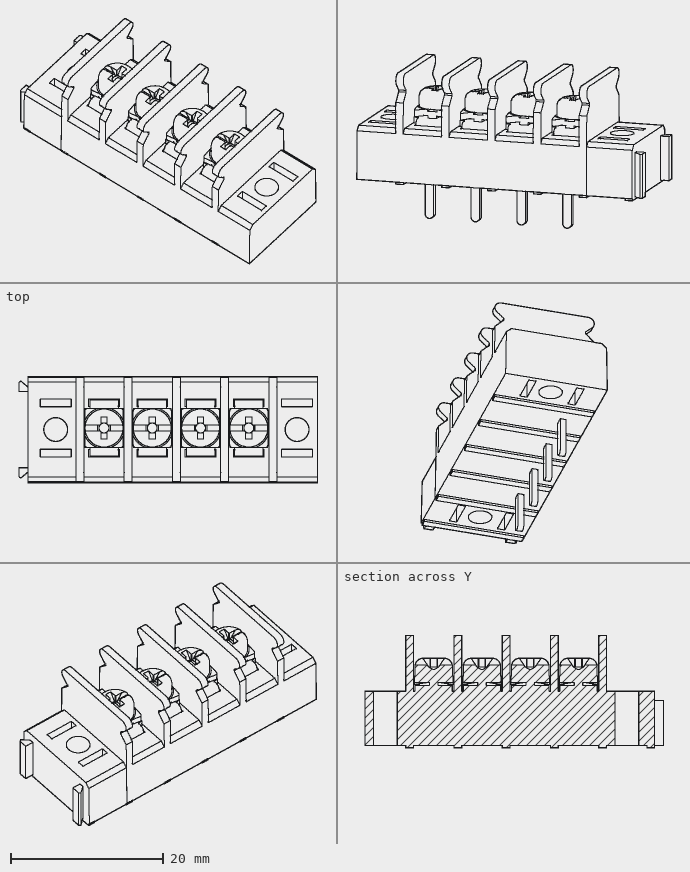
import cadquery as cq
import math


pole_count = 4
pitch = 6.35
body_length = (pole_count + 2) * pitch
first_barrier_x = 6.83
barrier_xs = [first_barrier_x + i * pitch for i in range(pole_count + 1)]
pole_xs = [x + pitch / 2 for x in barrier_xs[:-1]]
barrier_thickness = 1.05
screw_y = 0.2

foot_height = 0.3
base_half_width = 7.0
end_shoulder_half_width = 6.86
shoulder_z = 6.83
deck_z = 7.45
deck_half_width = 6.25
foot_half_width = 6.85
end_foot_width = 1.0

barrier_top_z = 14.8
barrier_half_width = 6.83
barrier_corner_radius = 0.88
notch_low_z = 11.0
notch_depth = 1.2
notch_floor_height = 0.25

side_slope = (base_half_width - barrier_half_width) / (notch_low_z - foot_height)
shoulder_half_width = base_half_width - side_slope * (shoulder_z - foot_height)

mount_hole_diameter = 3.1
mount_inset = 3.65
mount_xs = [mount_inset, mount_inset + (pole_count + 1) * pitch]
slot_length = 4.05
slot_width = 1.0
slot_offset = 3.3

hook_reach = 1.19
hook_bottom_z = foot_height
hook_top_z = 6.25
hook_inner_y = 5.0
hook_root_y = 5.6
hook_tip_y = 6.4
hook_bevel_x = 0.25
hook_bevel_y = 0.2

strip_thickness = 0.8
bracket_top_z = deck_z + strip_thickness
arm_bend_radius = 0.79
bracket_width = 4.95
arm_width = 3.75
arm_outer_y = 3.7
arm_seat_depth = 2.0
pin_width = 1.2
pin_tip_z = -5.0
pin_root_z = 1.0

washer_size = 5.1
washer_corner_radius = 0.35
washer_bottom_z = 8.57
washer_top_z = 9.43
washer_bend_radius = 2.7
washer_corner_drop = 0.3
bead_width = 1.15
bead_groove_width = 1.3
bead_groove_depth = 0.25
screw_collar_diameter = 3.0

head_diameter = 5.0
head_top_z = 11.8
head_round = 1.1
drive_slot_width = 0.8
drive_slot_depth = 0.9
cross_width = 0.83
cross_top_radius = 1.45
cross_floor_radius = 0.65
cross_depth = 1.16
cross_tip_depth = 1.6


def box(size_x, size_y, z_low, z_high, x=0.0, y=0.0):
    """Block centred on (x, y) that spans z_low to z_high."""
    block = cq.Workplane("XY").box(size_x, size_y, z_high - z_low, centered=(True, True, False))
    return block.translate((x, y, z_low))


def housing_length(x_start, x_end, shoulder):
    """Length of housing with tapered sides and bevelled upper edges."""
    outline = [
        (-base_half_width, foot_height),
        (base_half_width, foot_height),
        (shoulder, shoulder_z),
        (deck_half_width, deck_z),
        (-deck_half_width, deck_z),
        (-shoulder, shoulder_z),
    ]
    plane = cq.Workplane("YZ", origin=(x_start, 0, 0))
    return plane.polyline(outline).close().extrude(x_end - x_start)


def feet():
    """Low bars across the underside: one at the -X end and one below each barrier."""
    depth = 2 * foot_half_width
    bars = box(end_foot_width, depth, 0, shoulder_z, end_foot_width / 2)
    for x in barrier_xs:
        bars = bars.union(box(barrier_thickness, depth, 0, shoulder_z, x))
    return bars


def barrier(x):
    """Upright wall with rounded top corners and a V notch in each side edge."""
    w = barrier_half_width
    r = barrier_corner_radius
    diagonal = r * math.sqrt(0.5)
    centre_y = w - r
    centre_z = barrier_top_z - r
    notch_y = w - notch_depth
    notch_z = notch_low_z + notch_depth
    outline = (
        cq.Workplane("YZ", origin=(x - barrier_thickness / 2, 0, 0))
        .moveTo(0, foot_height)
        .lineTo(base_half_width, foot_height)
        .lineTo(w, notch_low_z)
        .lineTo(notch_y, notch_z)
        .lineTo(notch_y, notch_z + notch_floor_height)
        .lineTo(centre_y + diagonal, centre_z - diagonal)
        .threePointArc((centre_y + r * math.cos(math.pi / 8), centre_z + r * math.sin(math.pi / 8)),
                       (centre_y, barrier_top_z))
        .lineTo(0, barrier_top_z)
        .close()
    )
    half = outline.extrude(barrier_thickness)
    return half.union(half.mirror("XZ"))


def hook(side):
    """Undercut hook on the -X end face; side is +1 or -1 in Y."""
    outline = [
        (0, side * hook_inner_y),
        (-hook_reach, side * hook_inner_y),
        (-hook_reach, side * (hook_tip_y - hook_bevel_y)),
        (hook_bevel_x - hook_reach, side * hook_tip_y),
        (0, side * hook_root_y),
    ]
    plane = cq.Workplane("XY", origin=(0, 0, hook_bottom_z))
    return plane.polyline(outline).close().extrude(hook_top_z - hook_bottom_z)


def slot_pair(x, z_low):
    """Cutters for the two slots either side of the screw line, open at the deck."""
    front = box(slot_length, slot_width, z_low, deck_z, x, screw_y - slot_offset)
    back = box(slot_length, slot_width, z_low, deck_z, x, screw_y + slot_offset)
    return front.union(back)


def mount_openings(x):
    """Through hole and through slots of one mounting end."""
    hole = cq.Workplane("XY").center(x, 0).circle(mount_hole_diameter / 2).extrude(deck_z)
    return hole.union(slot_pair(x, 0))


def bracket(x):
    """Metal strip on the deck with its two arms bent down into the slots."""
    seat_z = deck_z - arm_seat_depth
    strip = box(arm_width, 2 * arm_outer_y, seat_z, bracket_top_z, x, screw_y)
    strip = strip.edges("|X and >Z").fillet(arm_bend_radius)
    between_arms = 2 * (arm_outer_y - strip_thickness)
    strip = strip.cut(box(arm_width, between_arms, seat_z, deck_z, x, screw_y))
    return strip.union(box(bracket_width, washer_size, deck_z, bracket_top_z, x, screw_y))


def pin(x):
    """Flat solder pin with a full-round tip, in line with the +Y bracket arm."""
    radius = pin_width / 2
    outer_y = screw_y + arm_outer_y
    outline = (
        cq.Workplane("XZ", origin=(x, outer_y, 0))
        .moveTo(-radius, pin_root_z)
        .lineTo(-radius, pin_tip_z + radius)
        .threePointArc((0, pin_tip_z), (radius, pin_tip_z + radius))
        .lineTo(radius, pin_root_z)
        .close()
    )
    return outline.extrude(strip_thickness)


def washer():
    """Square clamp washer with drooping corners and a pressed bead along Y, on the Z axis."""
    reach = washer_size / math.sqrt(2)
    droop = (
        cq.Workplane("XZ")
        .moveTo(0, washer_bottom_z)
        .lineTo(washer_bend_radius, washer_bottom_z)
        .lineTo(reach, washer_bottom_z - washer_corner_drop)
        .lineTo(reach, washer_top_z - washer_corner_drop)
        .lineTo(washer_bend_radius, washer_top_z)
        .lineTo(0, washer_top_z)
        .close()
        .revolve(360, (0, 0, 0), (0, 1, 0))
    )
    square = box(washer_size, washer_size, bracket_top_z, washer_top_z)
    square = square.edges("|Z").fillet(washer_corner_radius)
    bead = box(bead_width, washer_size, bracket_top_z, washer_top_z)
    groove = box(bead_groove_width, washer_size, washer_top_z - bead_groove_depth, washer_top_z)
    return square.intersect(droop).union(bead).cut(groove)


def cross_wing(size_x, size_y, floor_x, floor_y):
    """One bar of the cross recess, narrowing in length towards its floor."""
    return (
        cq.Workplane("XY", origin=(0, 0, head_top_z))
        .rect(size_x, size_y)
        .workplane(offset=-cross_depth)
        .rect(floor_x, floor_y)
        .loft(ruled=True)
    )


def screw_head():
    """Round-edged head on the Z axis with a slot along X, a cross recess and a collar below."""
    head = cq.Workplane("XY", origin=(0, 0, washer_top_z)).circle(head_diameter / 2)
    head = head.extrude(head_top_z - washer_top_z).edges(">Z").fillet(head_round)
    collar = cq.Workplane("XY", origin=(0, 0, washer_top_z)).circle(screw_collar_diameter / 2)
    head = head.union(collar.extrude(-bead_groove_depth))
    slot = box(head_diameter, drive_slot_width, head_top_z - drive_slot_depth, head_top_z)
    wing_x = cross_wing(2 * cross_top_radius, cross_width, 2 * cross_floor_radius, cross_width)
    wing_y = cross_wing(cross_width, 2 * cross_top_radius, cross_width, 2 * cross_floor_radius)
    core = (
        cq.Workplane("XZ")
        .moveTo(0, head_top_z)
        .lineTo(cross_floor_radius, head_top_z)
        .lineTo(cross_floor_radius, head_top_z - cross_depth)
        .lineTo(0, head_top_z - cross_tip_depth)
        .close()
        .revolve(360, (0, 0, 0), (0, 1, 0))
    )
    return head.cut(slot).cut(wing_x).cut(wing_y).cut(core)


end_length = first_barrier_x - barrier_thickness / 2
part = housing_length(0, end_length, end_shoulder_half_width)
part = part.union(housing_length(end_length, body_length, shoulder_half_width))
part = part.union(feet())
for barrier_x in barrier_xs:
    part = part.union(barrier(barrier_x))
for hook_side in (-1, 1):
    part = part.union(hook(hook_side))
for mount_x in mount_xs:
    part = part.cut(mount_openings(mount_x))

clamp = washer().union(screw_head())
for pole_x in pole_xs:
    part = part.cut(slot_pair(pole_x, deck_z - arm_seat_depth))
    part = part.union(bracket(pole_x)).union(pin(pole_x))
    part = part.union(clamp.translate((pole_x, screw_y, 0)))

result = part